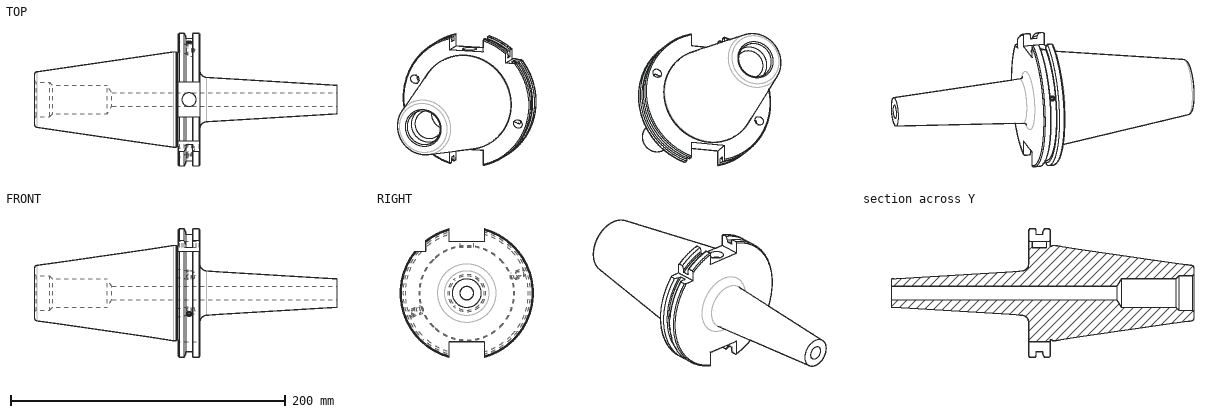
import cadquery as cq
import math

LENGTH = 220.8
GAUGE_X = 101.4
FLANGE_X = 105.0
FLANGE_END_X = 120.8
GROOVE_MID_X = (FLANGE_X + FLANGE_END_X) / 2

GAUGE_R = 35.0
TAPER_SLOPE = 7 / 24 / 2
SHANK_END_R = GAUGE_R - TAPER_SLOPE * GAUGE_X
SHANK_END_ROUND = 2.2
RELIEF_WIDTH = 1.5
RELIEF_DEPTH = 0.7

FLANGE_R = 97.5 / 2
FLANGE_CHAMFER = 0.9
GROOVE_FLOOR_R = 44.8
GROOVE_WIDTH = 4.6
FLANK_ANGLE = 30.0
REAR_FLANK_WIDTH = 1.3
FRONT_FLANK_WIDTH = 0.7

NOSE_ROOT_R = 16.5
NOSE_END_R = 21.0 / 2
NOSE_ROOT_ROUND = 5.0

MOUTH_R = 13.7
MOUTH_CHAMFER = 1.0
PILOT_R = MOUTH_R - MOUTH_CHAMFER
PILOT_DEPTH = 11.0
THREAD_R = 10.4
COUNTERSINK_HALF_ANGLE = 45.0
THREAD_END_X = 53.0
DRILL_HALF_ANGLE = 59.0
CLAMP_BORE_R = 4.9

SLOT_WIDTH = 25.6
TOP_SLOT_FLOOR_Z = 37.8
BOTTOM_SLOT_FLOOR_Z = -35.5
NOTCH_Y = -30.0
NOTCH_Z = 30.5
POCKET_R = 5.0
POCKET_DEPTH = 4.6

COOLANT_ANGLE = 20.0
HALF_TURN = 180.0
COOLANT_CIRCLE_R = 42.0
CHANNEL_D = 6.0
CHANNEL_TILT = 28.0
CHANNEL_LENGTH = 12.1
SCREW_D = 3.8
SCREW_HEAD_R = 44.2
SCREW_LENGTH = 8.0
HEXAGON_SIDES = 6
SOCKET_ACROSS_CORNERS = 2.2
SOCKET_DEPTH = 1.8


def make_blank():
    """Solid of revolution: taper shank, grooved flange and nose cone."""
    groove_rear_x = GROOVE_MID_X - GROOVE_WIDTH / 2
    groove_front_x = GROOVE_MID_X + GROOVE_WIDTH / 2
    flank_slope = 1 / math.tan(math.radians(FLANK_ANGLE))
    relief_x = FLANGE_X - RELIEF_WIDTH
    shoulder_r = FLANGE_R - FLANGE_CHAMFER
    outline = [
        (0, 0),
        (0, SHANK_END_R),
        (GAUGE_X, GAUGE_R),
        (relief_x, GAUGE_R),
        (relief_x + RELIEF_DEPTH, GAUGE_R - RELIEF_DEPTH),
        (FLANGE_X, GAUGE_R - RELIEF_DEPTH),
        (FLANGE_X, shoulder_r),
        (FLANGE_X + FLANGE_CHAMFER, FLANGE_R),
        (groove_rear_x - REAR_FLANK_WIDTH, FLANGE_R),
        (groove_rear_x, FLANGE_R - REAR_FLANK_WIDTH * flank_slope),
        (groove_rear_x, GROOVE_FLOOR_R),
        (groove_front_x, GROOVE_FLOOR_R),
        (groove_front_x, FLANGE_R - FRONT_FLANK_WIDTH * flank_slope),
        (groove_front_x + FRONT_FLANK_WIDTH, FLANGE_R),
        (FLANGE_END_X - FLANGE_CHAMFER, FLANGE_R),
        (FLANGE_END_X, shoulder_r),
        (FLANGE_END_X, NOSE_ROOT_R),
        (LENGTH, NOSE_END_R),
        (LENGTH, 0),
    ]
    blank = cq.Workplane("XY").polyline(outline).close().revolve(360, (0, 0, 0), (1, 0, 0))
    blank = blank.faces("<X").edges().fillet(SHANK_END_ROUND)
    nose_root = blank.edges("%CIRCLE").filter(lambda edge: math.isclose(edge.radius(), NOSE_ROOT_R))
    return nose_root.fillet(NOSE_ROOT_ROUND)


def make_bore():
    """Stepped through bore: chamfered mouth, pilot, countersink, thread core, drill point, clamping bore."""
    countersink_length = (PILOT_R - THREAD_R) / math.tan(math.radians(COUNTERSINK_HALF_ANGLE))
    drill_point_length = (THREAD_R - CLAMP_BORE_R) / math.tan(math.radians(DRILL_HALF_ANGLE))
    outline = [
        (0, 0),
        (0, MOUTH_R),
        (MOUTH_CHAMFER, PILOT_R),
        (PILOT_DEPTH, PILOT_R),
        (PILOT_DEPTH + countersink_length, THREAD_R),
        (THREAD_END_X, THREAD_R),
        (THREAD_END_X + drill_point_length, CLAMP_BORE_R),
        (LENGTH, CLAMP_BORE_R),
        (LENGTH, 0),
    ]
    return cq.Workplane("XY").polyline(outline).close().revolve(360, (0, 0, 0), (1, 0, 0))


def flange_cut(y_min, y_max, z_min, z_max):
    """Box that cuts across the whole flange width within the given Y and Z range."""
    size = (FLANGE_END_X - FLANGE_X, y_max - y_min, z_max - z_min)
    return cq.Workplane("XY").box(*size, centered=False).translate((FLANGE_X, y_min, z_min))


def make_flange_cuts():
    """Two drive slots, the corner notch and the round pocket in the top slot floor."""
    half_slot = SLOT_WIDTH / 2
    top_slot = flange_cut(-half_slot, half_slot, TOP_SLOT_FLOOR_Z, FLANGE_R)
    bottom_slot = flange_cut(-half_slot, half_slot, -FLANGE_R, BOTTOM_SLOT_FLOOR_Z)
    notch = flange_cut(-FLANGE_R, NOTCH_Y, NOTCH_Z, FLANGE_R)
    pocket = (
        cq.Workplane("XY", origin=(GROOVE_MID_X, 0, TOP_SLOT_FLOOR_Z - POCKET_DEPTH))
        .circle(POCKET_R)
        .extrude(POCKET_DEPTH)
    )
    return [top_slot, bottom_slot, notch, pocket]


def make_channel(angle):
    """Blind coolant channel that leans inward from the rear flange face."""
    tilt = math.radians(CHANNEL_TILT)
    direction = (math.cos(tilt), -math.sin(tilt), 0)
    mouth_overrun = CHANNEL_D / 2
    start = (
        FLANGE_X - mouth_overrun * direction[0],
        COOLANT_CIRCLE_R - mouth_overrun * direction[1],
        0,
    )
    channel = (
        cq.Workplane(cq.Plane(origin=start, xDir=(0, 0, 1), normal=direction))
        .circle(CHANNEL_D / 2)
        .extrude(mouth_overrun + CHANNEL_LENGTH)
    )
    return channel.rotate((0, 0, 0), (1, 0, 0), angle)


def screw_plane(radius):
    """Plane facing away from the part axis, at the given distance along +Y, in the gripper groove."""
    return cq.Workplane(cq.Plane(origin=(GROOVE_MID_X, radius, 0), xDir=(1, 0, 0), normal=(0, 1, 0)))


def make_screw_hole(angle):
    """Radial hole from the groove floor that holds a sealing screw and crosses its channel."""
    tip_r = SCREW_HEAD_R - SCREW_LENGTH
    hole = screw_plane(tip_r).circle(SCREW_D / 2).extrude(FLANGE_R - tip_r)
    return hole.rotate((0, 0, 0), (1, 0, 0), angle)


def make_screw(angle):
    """Headless sealing screw with a hexagon socket in its outer end."""
    screw = screw_plane(SCREW_HEAD_R).circle(SCREW_D / 2).extrude(-SCREW_LENGTH)
    socket = screw_plane(SCREW_HEAD_R).polygon(HEXAGON_SIDES, SOCKET_ACROSS_CORNERS).extrude(-SOCKET_DEPTH)
    return screw.cut(socket).rotate((0, 0, 0), (1, 0, 0), angle)


coolant_angles = [COOLANT_ANGLE, COOLANT_ANGLE + HALF_TURN]

holder = make_blank().cut(make_bore())
for cutter in make_flange_cuts():
    holder = holder.cut(cutter)
for angle in coolant_angles:
    holder = holder.cut(make_channel(angle)).cut(make_screw_hole(angle))

screws = [make_screw(angle) for angle in coolant_angles]

result = cq.Compound.makeCompound([holder.val(), *[screw.val() for screw in screws]])